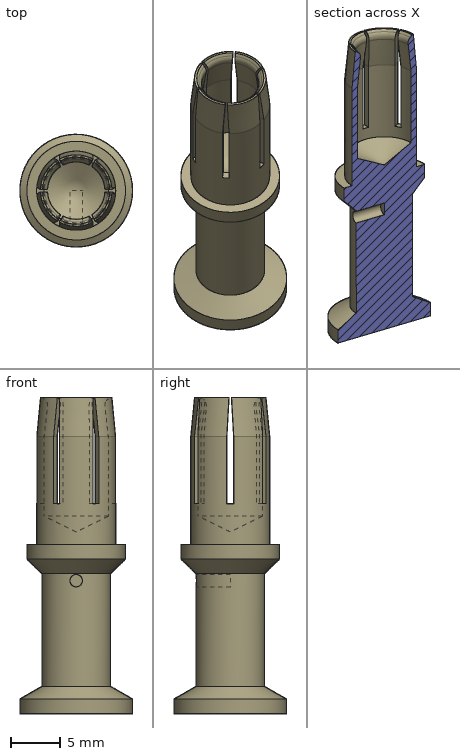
import cadquery as cq
import math

foot_radius = 11.5 / 2
foot_rim_height = 1.5
foot_cone_top = 2.8

shank_radius = 7.02 / 2
collar_radius = 10.05 / 2
collar_cone_bottom = 14.25
collar_rim_bottom = 15.75
collar_top = 17.25

total_height = 32.2
socket_radius = 4.02
taper_bottom = 28.2
tip_radius = 3.65

bore_radius = 3.3
throat_radius = 2.93
throat_height = 31.25
mouth_radius = 3.4
mouth_chamfer = 0.23
bore_floor = 20.12
bore_cone_depth = 1.6

slot_count = 6
slot_width = 0.68
slot_tip_width = 0.23
slot_bottom = 21.38

cross_hole_diameter = 1.25
cross_hole_height = 13.55


def revolve_profile(points):
    """Revolve an outline of (radius, height) points about the Z axis."""
    return cq.Workplane("XZ").polyline(points).close().revolve(360, (0, 0), (0, 1))


def make_body():
    return revolve_profile([
        (0, 0),
        (foot_radius, 0),
        (foot_radius, foot_rim_height),
        (shank_radius, foot_cone_top),
        (shank_radius, collar_cone_bottom),
        (collar_radius, collar_rim_bottom),
        (collar_radius, collar_top),
        (socket_radius, collar_top),
        (socket_radius, taper_bottom),
        (tip_radius, total_height),
        (0, total_height),
    ])


def make_bore():
    lip_radius = mouth_radius - mouth_chamfer
    lip_height = total_height - mouth_chamfer
    lip_depth = lip_height - throat_height
    lip_width = lip_radius - throat_radius
    lip_middle = (
        lip_radius - lip_width * math.sqrt(0.5),
        throat_height + lip_depth * math.sqrt(0.5),
    )
    return (
        cq.Workplane("XZ")
        .moveTo(0, bore_floor - bore_cone_depth)
        .lineTo(bore_radius, bore_floor)
        .lineTo(bore_radius, taper_bottom)
        .lineTo(throat_radius, throat_height)
        .threePointArc(lip_middle, (lip_radius, lip_height))
        .lineTo(mouth_radius, total_height)
        .lineTo(0, total_height)
        .close()
        .revolve(360, (0, 0), (0, 1))
    )


def make_slot(angle):
    """One slot, from the axis outwards, narrowing where the fingers bend inwards."""
    half_width = slot_width / 2
    half_tip_width = slot_tip_width / 2
    outline = [
        (-half_width, slot_bottom),
        (half_width, slot_bottom),
        (half_width, taper_bottom),
        (half_tip_width, total_height),
        (-half_tip_width, total_height),
        (-half_width, taper_bottom),
    ]
    slot = cq.Workplane("YZ").polyline(outline).close().extrude(collar_radius)
    return slot.rotate((0, 0, 0), (0, 0, 1), angle)


def make_cross_hole():
    """Radial hole from the -Y side of the shank to the axis."""
    return (
        cq.Workplane("XZ")
        .center(0, cross_hole_height)
        .circle(cross_hole_diameter / 2)
        .extrude(collar_radius)
    )


result = make_body().cut(make_bore()).cut(make_cross_hole())
for slot_index in range(slot_count):
    result = result.cut(make_slot(slot_index * 360 / slot_count))